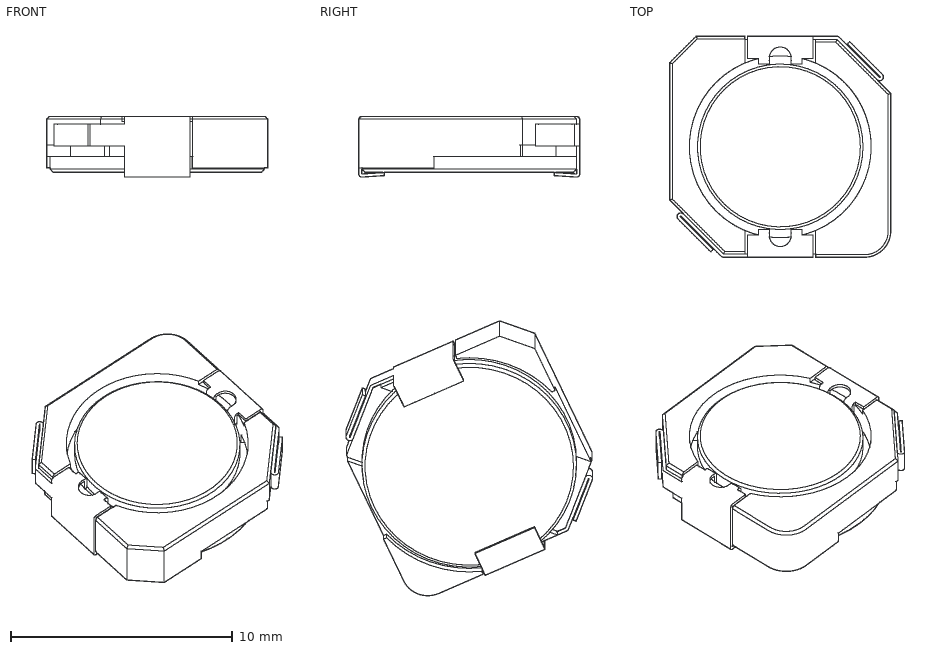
import cadquery as cq
import math

side = 10.0
half_side = side / 2
top_z = 2.75
root2 = math.sqrt(2)

sheet = 0.15
plate_width = 2.97
top_plate_end = 3.98
hook_width = 1.98
hook_face = 3.74
hook_bend = 0.17
hook_drop = 0.7
notch_radius = 0.49
notch_center = 4.02
foot_length = 1.16
foot_angle = math.radians(3.8)
strip_bottom = 1.4
strip_top = 2.4
fold_gap = 0.04
fold_turn = 0.95
fold_end = 1.14

housing_bottom = 0.42
top_bevel = 0.12
small_corner = 1.2
corner_face = 5.24
bore_radius = 4.11
terminal_pocket_width = 3.2
terminal_pocket_floor = 2.52
seat_y = half_side - sheet
recess_radius = 5.1
recess_top = 0.93
wire_slot_width = 3.8
wire_slot_top = 1.46

drum_bottom = 0.22
lower_flange_radius = 4.85
lower_flange_bevel = 0.14
upper_flange_radius = 3.74
upper_flange_bevel = 0.12
upper_flange_thickness = 0.7
post_radius = 2.4


def half_turn(shape):
    """The same shape turned 180 degrees about the Z axis."""
    return shape.rotate((0, 0, 0), (0, 0, 1), 180)


def block(x0, x1, y0, y1, z0, z1):
    """Box between two opposite corners."""
    return cq.Workplane("XY").box(x1 - x0, y1 - y0, z1 - z0, centered=False).translate((x0, y0, z0))


def housing_blank():
    """Bevelled outline; each seat starts at X = 0 and runs to its large corner face."""
    corner_sum = corner_face * root2
    corner_on_side = corner_sum - half_side
    corner_on_seat = corner_sum - seat_y
    small_edge = half_side - small_corner
    arc_offset = small_corner / root2
    outline = (
        cq.Workplane("XY", origin=(0, 0, housing_bottom))
        .moveTo(-half_side, -corner_on_side)
        .lineTo(-corner_on_seat, -seat_y)
        .lineTo(0, -seat_y)
        .lineTo(0, -half_side)
        .lineTo(small_edge, -half_side)
        .threePointArc((small_edge + arc_offset, -small_edge - arc_offset), (half_side, -small_edge))
        .lineTo(half_side, corner_on_side)
        .lineTo(corner_on_seat, seat_y)
        .lineTo(0, seat_y)
        .lineTo(0, half_side)
        .lineTo(-small_edge, half_side)
        .lineTo(-half_side, small_edge)
        .close()
    )
    blank = outline.extrude(top_z - housing_bottom)
    return blank.faces(">Z").edges().chamfer(top_bevel)


def terminal_pocket():
    """Shallow channel across the top plus the full-height seats at both Y ends."""
    half_width = terminal_pocket_width / 2
    channel = block(-half_width, half_width, -half_side, half_side, terminal_pocket_floor, top_z)
    seat = block(-half_width, half_width, seat_y, half_side, housing_bottom, top_z)
    return channel.union(seat).union(half_turn(seat))


def bottom_recess():
    """Round clearance for the bottom flange, opened out at the two large corners."""
    depth = recess_top - housing_bottom
    round_part = cq.Workplane("XY", origin=(0, 0, housing_bottom)).circle(recess_radius).extrude(depth)
    corner_start = -terminal_pocket_width / 2
    corner = block(0, half_side, corner_start, half_side, housing_bottom, recess_top)
    return round_part.union(corner).union(half_turn(corner))


def wire_slot():
    """Diagonal passage that lets the winding out at both large corners."""
    half_width = wire_slot_width / 2
    slot = block(-side, side, -half_width, half_width, housing_bottom, wire_slot_top)
    return slot.rotate((0, 0, 0), (0, 0, 1), 45)


def make_housing():
    bore = cq.Workplane("XY", origin=(0, 0, housing_bottom)).circle(bore_radius).extrude(side)
    return housing_blank().cut(bore).cut(terminal_pocket()).cut(bottom_recess()).cut(wire_slot())


def make_drum_core():
    """Revolved spool: wide bottom flange, post and smaller top flange."""
    profile = [
        (0, drum_bottom),
        (lower_flange_radius - lower_flange_bevel, drum_bottom),
        (lower_flange_radius, drum_bottom + lower_flange_bevel),
        (lower_flange_radius, recess_top),
        (post_radius, recess_top),
        (post_radius, top_z - upper_flange_thickness),
        (upper_flange_radius, top_z - upper_flange_thickness),
        (upper_flange_radius, top_z - upper_flange_bevel),
        (upper_flange_radius - upper_flange_bevel, top_z),
        (0, top_z),
    ]
    return cq.Workplane("XZ").polyline(profile).close().revolve(360, (0, 0), (0, 1))


def terminal_band():
    """Sheet bent over the top, down the +Y side and under the bottom."""
    tip_y = half_side - foot_length
    corner_z = sheet * (1 - math.tan(foot_angle) - 1 / math.cos(foot_angle))
    tip_z = corner_z + foot_length * math.tan(foot_angle)
    profile = [
        (hook_face, top_z - hook_drop),
        (hook_face, top_z),
        (half_side, top_z),
        (half_side, corner_z),
        (tip_y, tip_z),
        (tip_y, tip_z + sheet),
        (seat_y, sheet),
        (seat_y, top_z - sheet),
        (hook_face + sheet, top_z - sheet),
        (hook_face + sheet, top_z - hook_drop),
    ]
    band = cq.Workplane("YZ").polyline(profile).close().extrude(plate_width / 2, both=True)
    side_bends = band.faces(">Y").edges("|X").fillet(sheet)
    hook_edge = cq.selectors.NearestToPointSelector((0, hook_face, top_z))
    return side_bends.edges(hook_edge).fillet(hook_bend)


def hook_trim():
    """Material beside the narrow tab, and the round-ended notch through its middle."""
    low = top_z - hook_drop
    round_end = cq.Workplane("XY", origin=(0, notch_center, low)).circle(notch_radius).extrude(hook_drop)
    notch = block(-notch_radius, notch_radius, hook_face, notch_center, low, top_z)
    shoulder = block(hook_width / 2, plate_width / 2, hook_face, top_plate_end, low, top_z)
    return round_end.union(notch).union(shoulder).union(shoulder.mirror("YZ"))


def wire_strip():
    """Strip from the side plate round the large corner, folded back on itself."""
    height = strip_top - strip_bottom
    outer = corner_face + sheet

    def at(distance, along):
        """Point at a distance from the Z axis and a place along the corner face."""
        return ((distance + along) / root2, (distance - along) / root2)

    bend_along = half_side * root2 - outer
    inner_bend = (corner_face * root2 - seat_y, seat_y)
    outer_bend = at(outer, -bend_along)
    turn_radius = sheet + fold_gap / 2
    turn_axis = outer + fold_gap / 2
    folded = outer + fold_gap
    strip = (
        cq.Workplane("XY", origin=(0, 0, strip_bottom))
        .moveTo(0, seat_y)
        .lineTo(*inner_bend)
        .lineTo(*at(corner_face, fold_turn))
        .threePointArc(at(turn_axis, fold_turn + turn_radius), at(folded + sheet, fold_turn))
        .lineTo(*at(folded + sheet, -fold_end))
        .lineTo(*at(folded, -fold_end))
        .lineTo(*at(folded, fold_turn))
        .threePointArc(at(turn_axis, fold_turn + fold_gap / 2), at(outer, fold_turn))
        .lineTo(*outer_bend)
        .lineTo(0, half_side)
        .close()
        .extrude(height)
    )
    bend_edge = cq.selectors.NearestToPointSelector((*outer_bend, strip_bottom + height / 2))
    return strip.edges(bend_edge).fillet(sheet)


def make_terminal():
    return terminal_band().cut(hook_trim()).union(wire_strip())


housing = make_housing()
drum_core = make_drum_core()
terminals = []
for angle in (0, 180):
    terminals.append(make_terminal().rotate((0, 0, 0), (0, 0, 1), angle).val())

result = cq.Compound.makeCompound([housing.val(), drum_core.val(), *terminals])